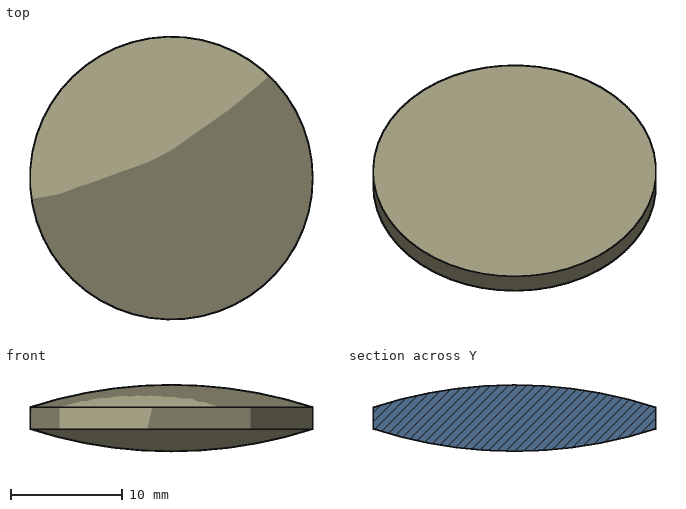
import cadquery as cq

diameter = 25.4
center_thickness = 6.0
edge_thickness = 1.95

radius = diameter / 2
half_center = center_thickness / 2
half_edge = edge_thickness / 2

cap_height = half_center - half_edge
sphere_radius = (radius**2 + cap_height**2) / (2 * cap_height)

arc_mid_x = radius / 2
arc_mid_z = half_center - sphere_radius + (sphere_radius**2 - arc_mid_x**2) ** 0.5

half_section = (
    cq.Workplane("XZ")
    .moveTo(0, -half_center)
    .threePointArc((arc_mid_x, -arc_mid_z), (radius, -half_edge))
    .lineTo(radius, half_edge)
    .threePointArc((arc_mid_x, arc_mid_z), (0, half_center))
    .close()
)

result = half_section.revolve(360, (0, 0), (0, 1))